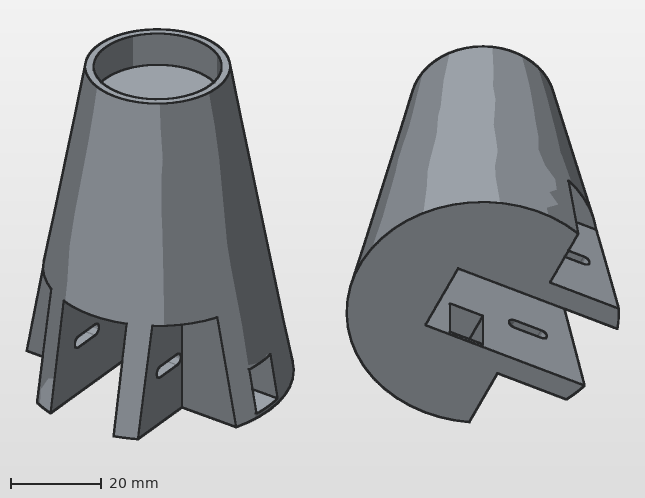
import cadquery as cq

height = 77.9
base_radius = 30.0
top_radius = 16.0

recess_radius = 14.1
recess_depth = 8.0

cutaway_height = 26.4
cutaway_back_y = -10.0
bay_back_y = -cutaway_back_y
leg_inner_x = 8.5
leg_outer_x = 13.6

slot_length = 9.2
slot_height = 2.8
slot_center_y = -14.95
slot_center_z = 13.2

opening_width = 8.0
opening_bottom_z = 1.0
opening_top_z = 11.7


def box_between(x_range, y_range, z_range):
    """Box filling the given X, Y and Z ranges."""
    ranges = (x_range, y_range, z_range)
    sizes = [high - low for low, high in ranges]
    corner = tuple(low for low, high in ranges)
    return cq.Workplane("XY").box(*sizes, centered=False).translate(corner)


def tapered_body():
    profile = [(0, 0), (base_radius, 0), (top_radius, height), (0, height)]
    return cq.Workplane("XZ").polyline(profile).close().revolve(360, (0, 0), (0, 1))


def top_recess():
    return (
        cq.Workplane("XY")
        .workplane(offset=height - recess_depth)
        .circle(recess_radius)
        .extrude(recess_depth)
    )


def side_cutaways():
    """Open corners outside the two legs."""
    y_range = (-base_radius, cutaway_back_y)
    z_range = (0, cutaway_height)
    left = box_between((-base_radius, -leg_outer_x), y_range, z_range)
    right = box_between((leg_outer_x, base_radius), y_range, z_range)
    return left.add(right).combine()


def bay():
    """Space between the legs, reaching back past the centre of the body."""
    return box_between(
        (-leg_inner_x, leg_inner_x),
        (-base_radius, bay_back_y),
        (0, cutaway_height),
    )


def leg_slots():
    return (
        cq.Workplane("YZ")
        .center(slot_center_y, slot_center_z)
        .slot2D(slot_length, slot_height)
        .extrude(leg_outer_x, both=True)
    )


def side_opening():
    return box_between(
        (leg_inner_x, base_radius),
        (-opening_width / 2, opening_width / 2),
        (opening_bottom_z, opening_top_z),
    )


result = (
    tapered_body()
    .cut(top_recess())
    .cut(side_cutaways())
    .cut(bay())
    .cut(leg_slots())
    .cut(side_opening())
)